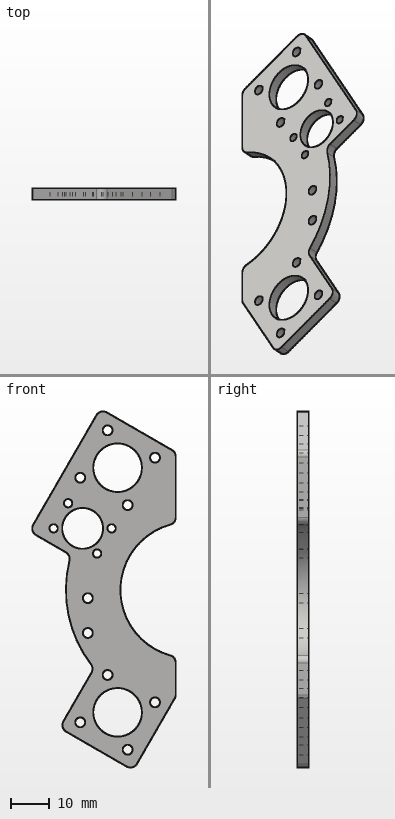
import cadquery as cq
import math

THICKNESS = 3.0

RING_INNER_RADIUS = 17.5
RING_OUTER_RADIUS = 31.65
RIGHT_EDGE_X = -3.2

MOTOR_PITCH_RADIUS = 36.5
MOTOR_ANGLE = 60.0
MOTOR_BORE_DIAMETER = 12.5
MOTOR_SCREW_DIAMETER = 2.5
MOTOR_SCREW_CIRCLE_RADIUS = 10.0
MOTOR_SCREW_ANGLES = (15.0, 105.0, 195.0, 285.0)
MOTOR_MARGIN = 11.0

SENSOR_SPACING = 18.1
SENSOR_BORE_DIAMETER = 10.5
SENSOR_SCREW_DIAMETER = 2.1
SENSOR_SCREW_CIRCLE_RADIUS = 7.5
SENSOR_SCREW_ANGLES = (0.0, 120.0, 180.0, 300.0)
SENSOR_MARGIN = 7.55
UPPER_LEFT_MARGIN = 11.55

RING_HOLE_DIAMETER = 2.5
RING_HOLE_X = -25.95
RING_HOLE_UPPER_Z = -2.1
RING_HOLE_SPACING = 9.0
RING_HOLE_COUNT = 2

CORNER_RADIUS = 2.0

TILT = math.radians(60.0)
ALONG = (math.cos(TILT), math.sin(TILT))
ACROSS = (math.sin(TILT), -math.cos(TILT))


def polar(center, radius, angle):
    """Point at the given distance and angle (degrees) from a centre."""
    a = math.radians(angle)
    return (center[0] + radius * math.cos(a), center[1] + radius * math.sin(a))


def offset(center, along, across):
    """Point shifted from a centre along the two tilted edge directions."""
    return (
        center[0] + along * ALONG[0] + across * ACROSS[0],
        center[1] + along * ALONG[1] + across * ACROSS[1],
    )


RING_CENTER = (0.0, 0.0)
UPPER_MOTOR = polar(RING_CENTER, MOTOR_PITCH_RADIUS, 180.0 - MOTOR_ANGLE)
LOWER_MOTOR = polar(RING_CENTER, MOTOR_PITCH_RADIUS, 180.0 + MOTOR_ANGLE)
SENSOR = offset(UPPER_MOTOR, -SENSOR_SPACING, 0.0)


def first_on_ring(start, direction, radius):
    """First point of a ring circle met when going from a start outside it along a direction."""
    b = start[0] * direction[0] + start[1] * direction[1]
    c = start[0] ** 2 + start[1] ** 2 - radius**2
    t = -b - math.sqrt(b * b - c)
    return (start[0] + t * direction[0], start[1] + t * direction[1])


def at_right_edge(start, direction):
    """Crossing of a tilted line with the straight right edge."""
    t = (RIGHT_EDGE_X - start[0]) / direction[0]
    return (RIGHT_EDGE_X, start[1] + t * direction[1])


def round_corners(body, corners, radius):
    """Fillet the through-thickness edges at the given (x, z) corners."""
    for x, z in corners:
        corner_edge = cq.selectors.NearestToPointSelector((x, -THICKNESS / 2, z))
        body = body.edges(corner_edge).fillet(radius)
    return body


def plate():
    """Plate outline with all its corners rounded, without holes."""
    top = offset(UPPER_MOTOR, MOTOR_MARGIN, -UPPER_LEFT_MARGIN)
    top_right = at_right_edge(top, ACROSS)
    far_left = offset(SENSOR, -SENSOR_MARGIN, -UPPER_LEFT_MARGIN)
    upper_neck = first_on_ring(far_left, ACROSS, RING_OUTER_RADIUS)
    lower_left = offset(LOWER_MOTOR, -MOTOR_MARGIN, -MOTOR_MARGIN)
    bottom = offset(LOWER_MOTOR, -MOTOR_MARGIN, MOTOR_MARGIN)
    bottom_right = at_right_edge(bottom, ALONG)
    lower_neck = first_on_ring(lower_left, ALONG, RING_OUTER_RADIUS)
    arc_end_z = math.sqrt(RING_INNER_RADIUS**2 - RIGHT_EDGE_X**2)
    arc_top = (RIGHT_EDGE_X, arc_end_z)
    arc_bottom = (RIGHT_EDGE_X, -arc_end_z)

    blank = (
        cq.Workplane("XZ")
        .moveTo(*top)
        .lineTo(*top_right)
        .lineTo(*arc_top)
        .threePointArc((-RING_INNER_RADIUS, 0.0), arc_bottom)
        .lineTo(*bottom_right)
        .lineTo(*bottom)
        .lineTo(*lower_left)
        .lineTo(*lower_neck)
        .threePointArc((-RING_OUTER_RADIUS, 0.0), upper_neck)
        .lineTo(*far_left)
        .close()
        .extrude(THICKNESS)
    )
    corners = (
        top,
        top_right,
        arc_top,
        arc_bottom,
        bottom_right,
        bottom,
        lower_left,
        lower_neck,
        upper_neck,
        far_left,
    )
    return round_corners(blank, corners, CORNER_RADIUS)


def drill(body, points, diameter):
    """Cut through holes at the given (x, z) points."""
    holes = cq.Workplane("XZ").pushPoints(points).circle(diameter / 2).extrude(THICKNESS)
    return body.cut(holes)


def mount_holes(body, center, bore, screw_diameter, screw_radius, screw_angles):
    """Cut a central bore and the screw holes around it."""
    body = drill(body, [center], bore)
    screws = [polar(center, screw_radius, angle) for angle in screw_angles]
    return drill(body, screws, screw_diameter)


result = plate()
for motor in (UPPER_MOTOR, LOWER_MOTOR):
    result = mount_holes(
        result,
        motor,
        MOTOR_BORE_DIAMETER,
        MOTOR_SCREW_DIAMETER,
        MOTOR_SCREW_CIRCLE_RADIUS,
        MOTOR_SCREW_ANGLES,
    )
result = mount_holes(
    result,
    SENSOR,
    SENSOR_BORE_DIAMETER,
    SENSOR_SCREW_DIAMETER,
    SENSOR_SCREW_CIRCLE_RADIUS,
    SENSOR_SCREW_ANGLES,
)
ring_holes = [(RING_HOLE_X, RING_HOLE_UPPER_Z - i * RING_HOLE_SPACING) for i in range(RING_HOLE_COUNT)]
result = drill(result, ring_holes, RING_HOLE_DIAMETER)